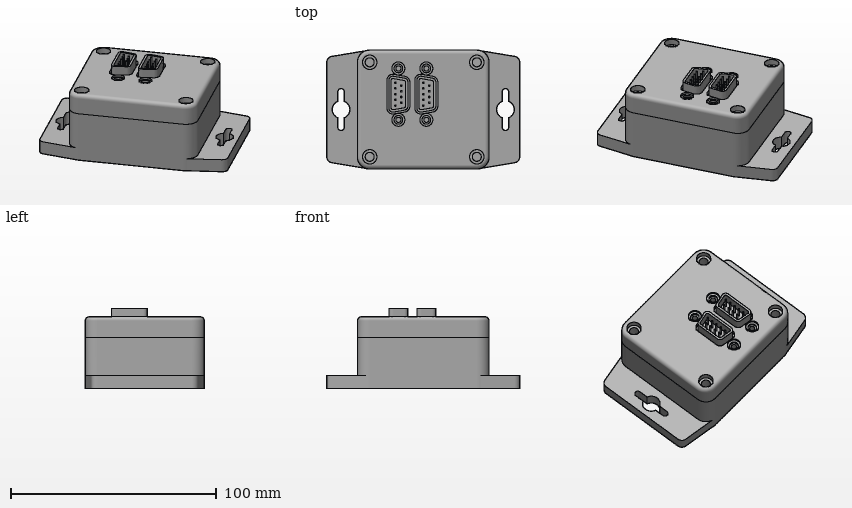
import cadquery as cq
import math

BOX_LENGTH = 64.1
BOX_WIDTH = 58.0
BASE_HEIGHT = 25.0
LID_HEIGHT = 10.0
CORNER_RADIUS = 6.0
CORNER_CENTER_X = BOX_LENGTH / 2 - CORNER_RADIUS
CORNER_CENTER_Y = BOX_WIDTH / 2 - CORNER_RADIUS
LID_EDGE_RADIUS = 2.0
LID_TOP = BASE_HEIGHT + LID_HEIGHT

OVERALL_LENGTH = 94.0
EAR_THICKNESS = 6.5
EAR_END_WIDTH = 51.0
EAR_CORNER_RADIUS = 3.0
KEYHOLE_X = 40.0
KEYHOLE_DIAMETER = 8.5
KEYHOLE_SLOT_LENGTH = 20.3
KEYHOLE_SLOT_WIDTH = 3.0

LID_SCREW_DIAMETER = 4.4
LID_SCREW_HEAD_DIAMETER = 7.0
LID_SCREW_HEAD_DEPTH = 3.0

FIRST_CONNECTOR_X = -12.1
CONNECTOR_SPACING = 13.6
CONNECTOR_COUNT = 2
CONNECTOR_Y = 7.5
CONNECTOR_CENTERS = [(FIRST_CONNECTOR_X + i * CONNECTOR_SPACING, CONNECTOR_Y) for i in range(CONNECTOR_COUNT)]
PANEL_THICKNESS = 2.0
PANEL_BOTTOM = LID_TOP - PANEL_THICKNESS

SHELL_HEIGHT = 4.0
SHELL_TOP = LID_TOP + SHELL_HEIGHT
SHELL_WIDTH = 9.3
SHELL_LENGTH = 16.6
SHELL_WALL = 1.15
SHELL_CORNER_RADIUS = 2.0
SHELL_END_ANGLE = 10.0
OPENING_CLEARANCE = 0.95

FLANGE_LENGTH = 31.0
FLANGE_WIDTH = 12.5

JACK_SPACING = 25.0
JACK_HEAD_DIAMETER = 6.3
JACK_HEAD_DEPTH = 1.0
JACK_CLEARANCE_DIAMETER = 4.2
JACK_THREAD_DIAMETER = 2.5

PIN_DIAMETER = 0.75
PIN_TOP = SHELL_TOP
PIN_PITCH = 2.77
PIN_ROW_SPACING = 2.84
PIN_ROW_COUNTS = (5, 4)


def rounded_box(height, z):
    """Block with the enclosure's outline, standing on height z."""
    return (
        cq.Workplane("XY", origin=(0, 0, z))
        .rect(BOX_LENGTH, BOX_WIDTH)
        .extrude(height)
        .edges("|Z")
        .fillet(CORNER_RADIUS)
    )


def cylinder(diameter, bottom, top, points):
    """Vertical cylinders between two heights, one at each point."""
    return (
        cq.Workplane("XY", origin=(0, 0, bottom))
        .pushPoints(points)
        .circle(diameter / 2)
        .extrude(top - bottom)
    )


def d_prism(offset, bottom, top, center):
    """Prism with the connector shell's D outline, grown outward by an offset."""
    angle = math.radians(SHELL_END_ANGLE)
    half_width = SHELL_WIDTH / 2 + offset
    half_length = SHELL_LENGTH / 2 + offset / math.cos(angle)
    end_rise = half_width * math.tan(angle)
    long_half = half_length + end_rise
    short_half = half_length - end_rise
    return (
        cq.Workplane("XY", origin=(*center, bottom))
        .polyline(
            [
                (-half_width, -long_half),
                (half_width, -short_half),
                (half_width, short_half),
                (-half_width, long_half),
            ]
        )
        .close()
        .extrude(top - bottom)
        .edges("|Z")
        .fillet(SHELL_CORNER_RADIUS + offset)
    )


def flange_block(center):
    """Connector body behind the panel, reaching down to the underside of the lid."""
    return (
        cq.Workplane("XY", origin=(*center, BASE_HEIGHT))
        .rect(FLANGE_WIDTH, FLANGE_LENGTH)
        .extrude(PANEL_BOTTOM - BASE_HEIGHT)
    )


def jack_points(center):
    """The two screw positions of a connector."""
    x, y = center
    return [(x, y + side * JACK_SPACING / 2) for side in (-1, 1)]


def pin_points(center):
    """Two staggered rows of pins, the longer row on the wide side of the D."""
    x, y = center
    points = []
    for row, count in enumerate(PIN_ROW_COUNTS):
        pin_x = x + (row - 0.5) * PIN_ROW_SPACING
        for i in range(count):
            points.append((pin_x, y + (i - (count - 1) / 2) * PIN_PITCH))
    return points


def make_ears():
    """Plate under the box, tapering to each end, with a keyhole slot at each end."""
    end_x = OVERALL_LENGTH / 2
    end_y = EAR_END_WIDTH / 2
    root_y = BOX_WIDTH / 2
    plate = (
        cq.Workplane("XY")
        .polyline(
            [
                (-end_x, -end_y),
                (-CORNER_CENTER_X, -root_y),
                (CORNER_CENTER_X, -root_y),
                (end_x, -end_y),
                (end_x, end_y),
                (CORNER_CENTER_X, root_y),
                (-CORNER_CENTER_X, root_y),
                (-end_x, end_y),
            ]
        )
        .close()
        .extrude(EAR_THICKNESS)
        .edges("|Z and (<X or >X)")
        .fillet(EAR_CORNER_RADIUS)
    )
    keyholes = [(-KEYHOLE_X, 0), (KEYHOLE_X, 0)]
    slots = (
        cq.Workplane("XY")
        .pushPoints(keyholes)
        .slot2D(KEYHOLE_SLOT_LENGTH, KEYHOLE_SLOT_WIDTH, 90)
        .extrude(EAR_THICKNESS)
    )
    return plate.cut(slots).cut(cylinder(KEYHOLE_DIAMETER, 0, EAR_THICKNESS, keyholes))


def make_base():
    """Lower part of the enclosure with its mounting ears."""
    return rounded_box(BASE_HEIGHT, 0).union(make_ears())


def make_lid():
    """Lid with corner screw holes and openings for the connectors."""
    lid = rounded_box(LID_HEIGHT, BASE_HEIGHT).faces(">Z").edges().fillet(LID_EDGE_RADIUS)

    corners = [
        (side_x * CORNER_CENTER_X, side_y * CORNER_CENTER_Y) for side_x in (-1, 1) for side_y in (-1, 1)
    ]
    lid = lid.cut(cylinder(LID_SCREW_DIAMETER, BASE_HEIGHT, LID_TOP, corners))
    lid = lid.cut(cylinder(LID_SCREW_HEAD_DIAMETER, LID_TOP - LID_SCREW_HEAD_DEPTH, LID_TOP, corners))

    for center in CONNECTOR_CENTERS:
        jacks = jack_points(center)
        lid = lid.cut(flange_block(center))
        lid = lid.cut(d_prism(OPENING_CLEARANCE, PANEL_BOTTOM, LID_TOP, center))
        lid = lid.cut(cylinder(JACK_CLEARANCE_DIAMETER, PANEL_BOTTOM, LID_TOP, jacks))
        lid = lid.cut(cylinder(JACK_HEAD_DIAMETER, LID_TOP - JACK_HEAD_DEPTH, LID_TOP, jacks))
    return lid


def make_connector(center):
    """Nine-pin plug: body behind the panel, D-shaped shell and pins."""
    shell = d_prism(0, PANEL_BOTTOM, SHELL_TOP, center)
    cavity = d_prism(-SHELL_WALL, PANEL_BOTTOM, SHELL_TOP, center)
    connector = flange_block(center).union(shell.cut(cavity))
    connector = connector.union(cylinder(PIN_DIAMETER, BASE_HEIGHT, PIN_TOP, pin_points(center)))
    return connector.cut(cylinder(JACK_THREAD_DIAMETER, BASE_HEIGHT, PANEL_BOTTOM, jack_points(center)))


base = make_base()
lid = make_lid()
connectors = [make_connector(center) for center in CONNECTOR_CENTERS]

result = cq.Compound.makeCompound(
    [base.val(), lid.val(), *[connector.val() for connector in connectors]]
)